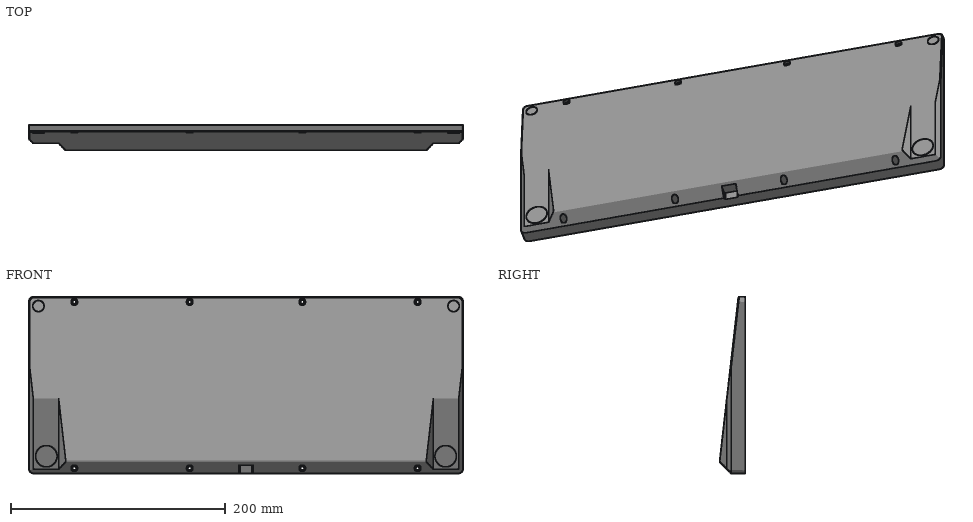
import cadquery as cq
import math

width = 405.0
height = 165.0
depth = 23.96
corner_radius = 5.0

slope_angle = math.radians(6.5)
ridge_radius = 3.0
slope_rim_chamfer = 0.9
side_wall_depth = 13.15
back_edge_radius = 1.1

match_tolerance = 0.01

step_depth = 17.4
step_width = 27.9
step_wall_run = depth - step_depth

foot_recess_depth = 0.3
small_foot_diameter = 10.5
small_foot_inset_x = 9.0
small_foot_inset_z = 8.8
large_foot_diameter = 20.0
large_foot_inset_x = 16.4
large_foot_inset_z = 16.2

screw_xs = (-160.0, -52.5, 52.5, 160.0)
screw_edge_inset = 5.0
screw_hole_diameter = 3.4
screw_head_diameter = 6.0
screw_seat_depth = 3.5

port_width = 13.5
port_corner_chamfer = 1.25
port_top = 8.0
port_floor_depth = 11.0

chamfer_angle = 45.0
chamfer_tilt = math.radians(chamfer_angle)

ridge_centre_depth = depth - ridge_radius
ridge_centre_z = (
    (ridge_centre_depth - side_wall_depth) * math.tan(chamfer_tilt)
    + ridge_radius / math.cos(chamfer_tilt)
)


def slope_depth(z):
    """Depth of the sloping underside at height z."""
    offset = ridge_radius / math.cos(slope_angle)
    return ridge_centre_depth + offset - (z - ridge_centre_z) * math.tan(slope_angle)


def side_profile():
    """Section across the case, extruded along the whole width."""
    chamfer_end_depth = ridge_centre_depth + ridge_radius * math.sin(chamfer_tilt)
    chamfer_end_z = ridge_centre_z - ridge_radius * math.cos(chamfer_tilt)
    slope_start_z = ridge_centre_z + ridge_radius * math.sin(slope_angle)
    return (
        cq.Workplane("YZ")
        .moveTo(0, 0)
        .lineTo(-side_wall_depth, 0)
        .lineTo(-chamfer_end_depth, chamfer_end_z)
        .threePointArc((-depth, ridge_centre_z), (-slope_depth(slope_start_z), slope_start_z))
        .lineTo(-slope_depth(height), height)
        .lineTo(0, height)
        .close()
        .extrude(width / 2, both=True)
    )


def rounded_rectangle():
    """Outline of the case on the back plane, facing the underside."""
    return (
        cq.Workplane("XZ")
        .center(0, height / 2)
        .sketch()
        .rect(width, height)
        .vertices()
        .fillet(corner_radius)
        .finalize()
    )


def edge_envelope():
    """Case outline: straight side walls, then a chamfer all round down to the step depth."""
    walls = rounded_rectangle().extrude(side_wall_depth)
    chamfer = rounded_rectangle().extrude(step_depth - side_wall_depth, taper=chamfer_angle)
    return walls.union(chamfer.translate((0, -side_wall_depth, 0)))


def centre_envelope():
    """Deep middle of the case between the two corner steps, with sloping walls."""
    step_x = width / 2 - step_width
    ridge_x = step_x - step_wall_run
    return (
        cq.Workplane("XY")
        .polyline([(-step_x, -step_depth), (-ridge_x, -depth), (ridge_x, -depth), (step_x, -step_depth)])
        .close()
        .extrude(height)
    )


def is_slope_rim(edge):
    """True for edges where the sloping underside meets the upright walls."""
    middle = edge.positionAt(0.5)
    on_slope = abs(-middle.y - slope_depth(middle.z)) < match_tolerance
    deepest = -edge.BoundingBox().ymin
    return on_slope and deepest < side_wall_depth + match_tolerance


def case_body():
    """Wedge-shaped case with its outer edges broken, before recesses and holes."""
    body = side_profile().intersect(edge_envelope().union(centre_envelope()))
    slope_rim = [edge for edge in body.edges().vals() if is_slope_rim(edge)]
    body = body.newObject(slope_rim).chamfer(slope_rim_chamfer)
    return body.faces(">Y").edges().fillet(back_edge_radius)


def cylinder_along_y(x, z, diameter, from_depth, to_depth):
    """Cylinder parallel to Y between two depths measured from the back."""
    return (
        cq.Workplane("XZ", origin=(x, -from_depth, z))
        .circle(diameter / 2)
        .extrude(to_depth - from_depth)
    )


def small_foot_recesses():
    """Shallow round recesses at the upper corners, square to the sloping underside."""
    z = height - small_foot_inset_z
    normal = (0, -math.cos(slope_angle), math.sin(slope_angle))
    recesses = cq.Workplane("XY")
    for side in (-1, 1):
        x = side * (width / 2 - small_foot_inset_x)
        plane = cq.Plane(origin=(x, -slope_depth(z), z), xDir=(1, 0, 0), normal=normal)
        recess = cq.Workplane(plane).circle(small_foot_diameter / 2).extrude(-foot_recess_depth)
        recesses = recesses.add(recess)
    return recesses


def large_foot_recesses():
    """Shallow round recesses on the lower corner steps."""
    recesses = cq.Workplane("XY")
    for side in (-1, 1):
        x = side * (width / 2 - large_foot_inset_x)
        floor = step_depth - foot_recess_depth
        recesses = recesses.add(cylinder_along_y(x, large_foot_inset_z, large_foot_diameter, floor, depth))
    return recesses


def screw_holes():
    """Through holes along the upper and lower edges, counterbored from the underside."""
    holes = cq.Workplane("XY")
    for x in screw_xs:
        for z in (screw_edge_inset, height - screw_edge_inset):
            holes = holes.add(cylinder_along_y(x, z, screw_hole_diameter, 0, depth))
            holes = holes.add(cylinder_along_y(x, z, screw_head_diameter, screw_seat_depth, depth))
    return holes


def port_recess():
    """Connector recess, open at the bottom, with chamfered corners at both ends of its floor."""
    reach = depth - port_floor_depth
    return (
        cq.Workplane("XY", origin=(0, -port_floor_depth, 0))
        .center(0, -reach / 2)
        .rect(port_width, reach)
        .extrude(port_top)
        .edges("|Z and >Y")
        .chamfer(port_corner_chamfer)
    )


result = (
    case_body()
    .cut(small_foot_recesses())
    .cut(large_foot_recesses())
    .cut(screw_holes())
    .cut(port_recess())
)